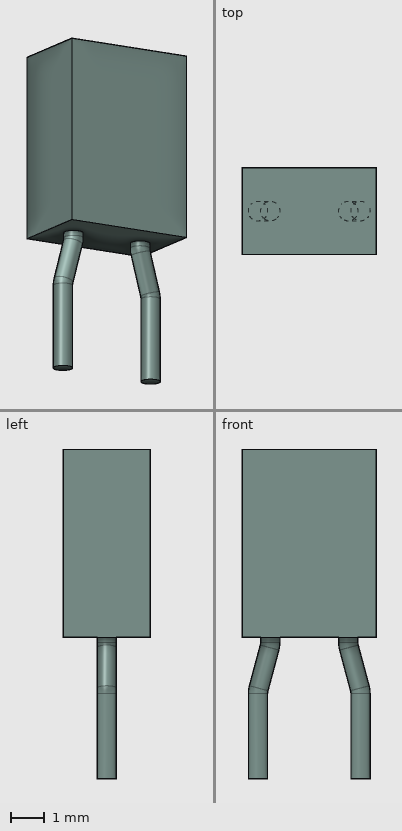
import cadquery as cq
import math

body_width = 3.99
body_depth = 2.59
body_height = 5.59

overall_height = 9.80
lead_diameter = 0.58
inner_pitch = 2.32
outer_pitch = 3.05
lead_tip_length = 2.54
bend_radius = 0.60
bend_angle = math.radians(15)

lead_height = overall_height - body_height
lead_offset = (outer_pitch - inner_pitch) / 2
bend_drop = bend_radius * math.sin(bend_angle)
bend_shift = bend_radius * (1 - math.cos(bend_angle))
slant_shift = lead_offset - 2 * bend_shift
slant_drop = slant_shift / math.tan(bend_angle)
lead_stub_length = lead_height - lead_tip_length - 2 * bend_drop - slant_drop


def make_body():
    return cq.Workplane("XY").box(body_width, body_depth, body_height, centered=(True, True, False))


def make_lead(side):
    """One lead hanging from the body underside; side is -1 for the -X lead, +1 for the +X lead."""
    x_top = side * inner_pitch / 2
    x_tip = side * outer_pitch / 2

    upper_bend_start = (x_top, -lead_stub_length)
    upper_bend_end = (x_top + side * bend_shift, -lead_stub_length - bend_drop)
    lower_bend_start = (x_tip - side * bend_shift, lead_tip_length + bend_drop - lead_height)
    lower_bend_end = (x_tip, lead_tip_length - lead_height)

    axis = (
        cq.Workplane("XZ")
        .moveTo(x_top, 0)
        .lineTo(*upper_bend_start)
        .tangentArcPoint(upper_bend_end, relative=False)
        .lineTo(*lower_bend_start)
        .tangentArcPoint(lower_bend_end, relative=False)
        .lineTo(x_tip, -lead_height)
    )
    return cq.Workplane("XY").center(x_top, 0).circle(lead_diameter / 2).sweep(axis)


body = make_body()
leads = [make_lead(side) for side in (-1, 1)]

result = cq.Compound.makeCompound([body.val(), *[lead.val() for lead in leads]])